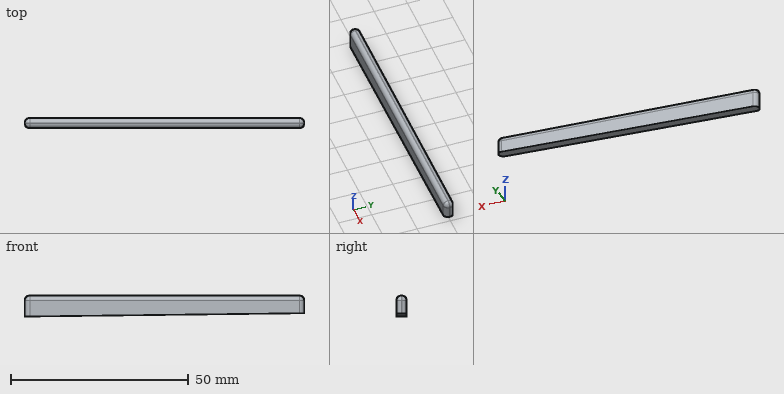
import cadquery as cq

length = 79.0
width = 2.9
tall_end_height = 6.0

underside_rise = 0.95

flat_width = 0.1
edge_radius = (width - flat_width) / 2


def tapered_bar():
    """Bar with a level top and a sloping underside, centred on Y."""
    side_outline = [
        (0, 0),
        (length, underside_rise),
        (length, tall_end_height),
        (0, tall_end_height),
    ]
    return cq.Workplane("XZ").polyline(side_outline).close().extrude(width / 2, both=True)


def round_edges(bar):
    """Round the upright corners and the top rim, leaving the underside sharp."""
    return bar.edges("|Z or >Z").fillet(edge_radius)


result = round_edges(tapered_bar())